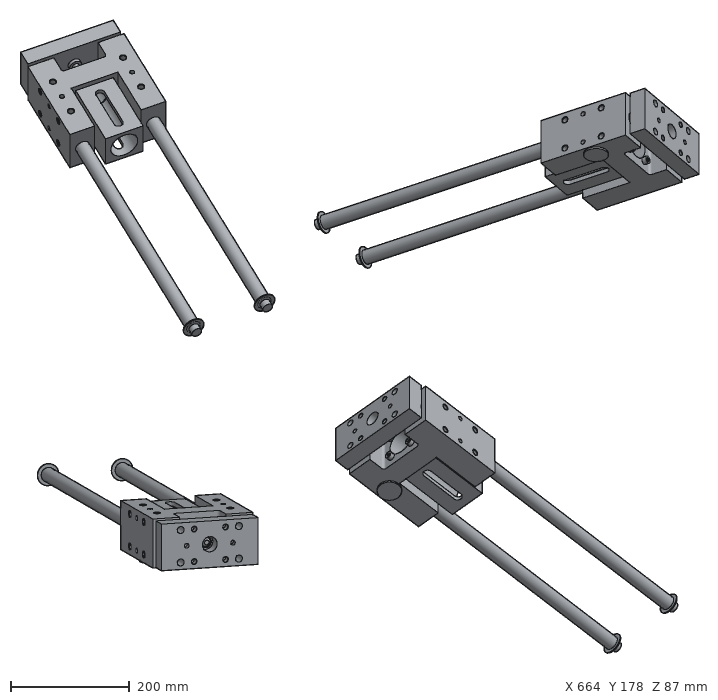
import cadquery as cq
import math

OVERLAP = 0.5

PLATE_LENGTH = 29.0
PLATE_WIDTH = 172.0
PLATE_HEIGHT = 80.5

ROD_DIAMETER = 25.0
ROD_Y = 66.0
WASHER_DIAMETER = 38.0
WASHER_THICKNESS = 2.0
WASHER_X = 650.0
ROD_PIN_DIAMETER = 18.0
TOTAL_LENGTH = 664.0

COUPLING_BORE_DIAMETER = 26.0
COUPLING_BORE_DEPTH = 22.5
STUD_TAIL_DIAMETER = 16.0
STUD_TAIL_LENGTH = 5.0
STUD_TAIL_CHAMFER = 4.0
STUD_STEP_DIAMETER = 20.0
STUD_STEP_HEIGHT = 1.0
STUD_COLLAR_DIAMETER = 22.5
STUD_COLLAR_LENGTH = 6.0
STUD_DIAMETER = 12.0
STUD_END_X = 46.5

PLATE_HOLE_Z = 28.0
PLATE_CLEARANCE_DIAMETER = 12.0
PLATE_CLEARANCE_Y = 52.0
PLATE_THREAD_Y = 28.0
PLATE_DOWEL_Y = 41.0

HOUSING_X = 36.5
HOUSING_LENGTH = 168.0
HOUSING_WIDTH = 178.0
HOUSING_HEIGHT = 84.0
WEB_FRONT_X = 70.5
WEB_REAR_X = 111.0
FRONT_POCKET_WIDTH = 82.5
FRONT_POCKET_FILLET = 4.5
REAR_POCKET_WIDTH = 86.0
WEB_BORE_DIAMETER = 53.0

HOUSING_HOLE_X = 121.0
HOUSING_THREAD_PITCH = 72.5
TOP_HOLE_Y = 65.0
SIDE_HOLE_Z = 28.0

HOUSING_THREAD_MOUTH = 12.0
PLATE_THREAD_MOUTH = 10.0
HOUSING_DRILL_DIAMETER = 10.0
PLATE_DRILL_DIAMETER = 8.5
THREAD_DEPTH = 13.0
DRILL_TIP_ANGLE = 118.0
DOWEL_DIAMETER = 8.0
DOWEL_DEPTH = 10.0

BRACKET_END_X = 230.5
BRACKET_WIDTH = 70.0
BRACKET_HEIGHT = 64.5
BRACKET_BORE_DIAMETER = 50.0
SLOT_START_X = 126.0
SLOT_END_X = 214.5
SLOT_WIDTH = 16.0

SCREW_HEAD_DIAMETER = 13.0
SCREW_HEAD_HEIGHT = 8.0
SCREW_OFFSET = 23.0
SOCKET_DIAMETER = 6.5
SOCKET_DEPTH = 4.0

FOOT_DIAMETER = 42.0
FOOT_X = 109.5
FOOT_HEIGHT = 3.0

ALONG_X = cq.Vector(1, 0, 0)
SIGNS = (1, -1)


def block(x_start, x_end, width, height):
    """Box between two X positions, centred in Y and Z."""
    length = x_end - x_start
    return cq.Workplane("XY").box(length, width, height).translate((x_start + length / 2, 0, 0))


def rod(diameter, x_start, x_end, y=0, z=0):
    """Cylinder along X between two X positions."""
    start = cq.Vector(x_start, y, z)
    return cq.Workplane(cq.Solid.makeCylinder(diameter / 2, x_end - x_start, start, ALONG_X))


def threaded_hole(mouth_diameter, drill_diameter, point, direction):
    """Drilled hole with a countersunk mouth and a conical tip, as a cutting tool."""
    mouth_radius = mouth_diameter / 2
    drill_radius = drill_diameter / 2
    tip_height = drill_radius / math.tan(math.radians(DRILL_TIP_ANGLE / 2))
    mouth_depth = mouth_radius - drill_radius
    profile = (
        cq.Workplane("XZ")
        .lineTo(mouth_radius, 0)
        .lineTo(drill_radius, mouth_depth)
        .lineTo(drill_radius, THREAD_DEPTH)
        .lineTo(0, THREAD_DEPTH + tip_height)
        .close()
    )
    tool = profile.revolve(360, (0, 0), (0, 1)).val()
    return tool.moved(cq.Plane(point, normal=direction).location)


def dowel_hole(point, direction):
    """Flat-bottomed dowel hole, as a cutting tool."""
    return cq.Solid.makeCylinder(DOWEL_DIAMETER / 2, DOWEL_DEPTH, cq.Vector(point), cq.Vector(direction))


def cut_face_holes(body, locate, direction):
    """Cut a row of thread, dowel and thread holes; locate maps an X position to a point on the face."""
    for x in (HOUSING_HOLE_X - HOUSING_THREAD_PITCH / 2, HOUSING_HOLE_X + HOUSING_THREAD_PITCH / 2):
        tool = threaded_hole(HOUSING_THREAD_MOUTH, HOUSING_DRILL_DIAMETER, locate(x), direction)
        body = body.cut(cq.Workplane(tool))
    return body.cut(cq.Workplane(dowel_hole(locate(HOUSING_HOLE_X), direction)))


def make_housing():
    """Guide housing with its cylinder bracket, screws and foot."""
    housing_end_x = HOUSING_X + HOUSING_LENGTH
    body = block(HOUSING_X, housing_end_x, HOUSING_WIDTH, HOUSING_HEIGHT)
    front_pocket = block(HOUSING_X, WEB_FRONT_X, FRONT_POCKET_WIDTH, HOUSING_HEIGHT)
    body = body.cut(front_pocket.edges("|Z and >X").fillet(FRONT_POCKET_FILLET))
    body = body.cut(block(WEB_REAR_X, housing_end_x, REAR_POCKET_WIDTH, HOUSING_HEIGHT))

    body = body.union(block(WEB_REAR_X - OVERLAP, BRACKET_END_X, BRACKET_WIDTH, BRACKET_HEIGHT))
    body = body.cut(rod(BRACKET_BORE_DIAMETER, WEB_REAR_X, BRACKET_END_X))
    body = body.cut(rod(WEB_BORE_DIAMETER, WEB_FRONT_X, WEB_REAR_X))
    slot = (
        cq.Workplane("XY")
        .center((SLOT_START_X + SLOT_END_X) / 2, 0)
        .slot2D(SLOT_END_X - SLOT_START_X, SLOT_WIDTH)
        .extrude(BRACKET_HEIGHT, both=True)
    )
    body = body.cut(slot)

    for side in SIGNS:
        body = body.cut(rod(ROD_DIAMETER, HOUSING_X, housing_end_x, side * ROD_Y))
        body = cut_face_holes(body, lambda x: (x, side * TOP_HOLE_Y, HOUSING_HEIGHT / 2), (0, 0, -1))
        for level in SIGNS:
            body = cut_face_holes(
                body, lambda x: (x, side * HOUSING_WIDTH / 2, level * SIDE_HOLE_Z), (0, -side, 0)
            )

    head_x = WEB_FRONT_X - SCREW_HEAD_HEIGHT
    for side in SIGNS:
        for level in SIGNS:
            y, z = side * SCREW_OFFSET, level * SCREW_OFFSET
            body = body.union(rod(SCREW_HEAD_DIAMETER, head_x, WEB_FRONT_X, y, z))
            socket = cq.Workplane("YZ", origin=(head_x, y, z)).polygon(6, SOCKET_DIAMETER)
            body = body.cut(socket.extrude(SOCKET_DEPTH))

    foot = (
        cq.Workplane("XY", origin=(FOOT_X, ROD_Y, -HOUSING_HEIGHT / 2 - FOOT_HEIGHT))
        .circle(FOOT_DIAMETER / 2)
        .extrude(FOOT_HEIGHT + OVERLAP)
    )
    return body.union(foot)


def make_slide():
    """Front plate with its coupling stud and the two guide rods."""
    body = block(0, PLATE_LENGTH, PLATE_WIDTH, PLATE_HEIGHT)

    body = body.cut(rod(COUPLING_BORE_DIAMETER, 0, COUPLING_BORE_DEPTH))
    step_x = COUPLING_BORE_DEPTH - STUD_STEP_HEIGHT
    body = body.union(rod(STUD_STEP_DIAMETER, step_x, PLATE_LENGTH))
    tail = rod(STUD_TAIL_DIAMETER, step_x - STUD_TAIL_LENGTH, PLATE_LENGTH)
    body = body.union(tail.faces("<X").chamfer(STUD_TAIL_CHAMFER))
    collar_end_x = PLATE_LENGTH + STUD_COLLAR_LENGTH
    body = body.union(rod(STUD_COLLAR_DIAMETER, PLATE_LENGTH - OVERLAP, collar_end_x))
    body = body.union(rod(STUD_DIAMETER, PLATE_LENGTH, STUD_END_X))

    for side in SIGNS:
        for level in SIGNS:
            z = level * PLATE_HOLE_Z
            body = body.cut(rod(PLATE_CLEARANCE_DIAMETER, 0, PLATE_LENGTH, side * PLATE_CLEARANCE_Y, z))
            thread_point = (0, side * PLATE_THREAD_Y, z)
            tool = threaded_hole(PLATE_THREAD_MOUTH, PLATE_DRILL_DIAMETER, thread_point, (1, 0, 0))
            body = body.cut(cq.Workplane(tool))
        body = body.cut(cq.Workplane(dowel_hole((0, side * PLATE_DOWEL_Y, 0), (1, 0, 0))))

    for side in SIGNS:
        y = side * ROD_Y
        washer_end_x = WASHER_X + WASHER_THICKNESS
        body = body.union(rod(ROD_DIAMETER, PLATE_LENGTH - OVERLAP, WASHER_X, y))
        body = body.union(rod(WASHER_DIAMETER, WASHER_X, washer_end_x, y))
        body = body.union(rod(ROD_PIN_DIAMETER, WASHER_X, TOTAL_LENGTH, y))
    return body


housing = make_housing()
slide = make_slide()
result = cq.Compound.makeCompound([housing.solids().val(), slide.solids().val()])